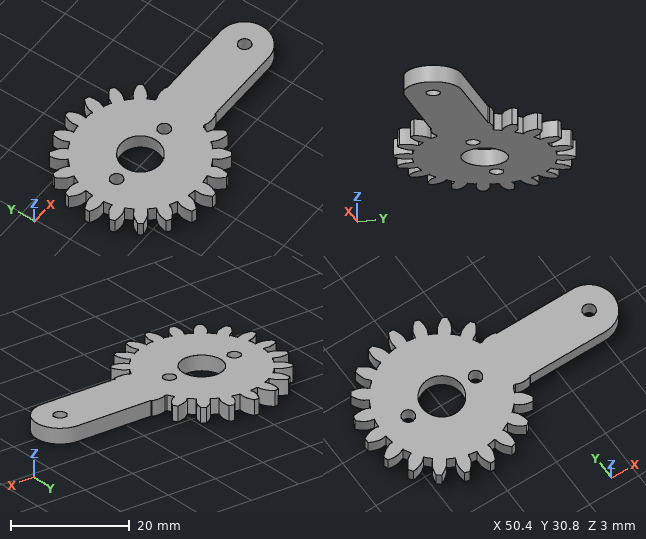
import cadquery as cq
import math

total_length = 50.4
thickness = 3.0

tooth_count = 20
outer_diameter = 30.8
pressure_angle = math.radians(20)
addendum_factor = 1.0
dedendum_factor = 1.25
flank_point_count = 6

module = outer_diameter / (tooth_count + 2 * addendum_factor)
outer_radius = outer_diameter / 2
pitch_radius = module * tooth_count / 2
root_radius = pitch_radius - dedendum_factor * module
base_radius = pitch_radius * math.cos(pressure_angle)
tooth_pitch = 360.0 / tooth_count

arm_reach = 30.0
arm_end_radius = total_length - outer_radius - arm_reach

bore_diameter = 8.0
pin_hole_diameter = 2.4
pin_hole_offset = 6.85


def involute_angle(radius):
    """Angle swept by the involute from the base circle out to the given radius."""
    roll = math.acos(base_radius / radius)
    return math.tan(roll) - roll


base_half_angle = math.pi / (2 * tooth_count) + involute_angle(pitch_radius)


def flank_point(radius):
    """Point on the upper flank of the tooth that lies along +X."""
    angle = base_half_angle - involute_angle(radius)
    return (radius * math.cos(angle), radius * math.sin(angle))


def mirror(point):
    """Reflect a point across the X axis."""
    return (point[0], -point[1])


def make_tooth():
    """One tooth along +X: involute flanks, straight radial sides below the base circle."""
    flank_step = (outer_radius - base_radius) / (flank_point_count - 1)
    upper_flank = [flank_point(base_radius + index * flank_step) for index in range(flank_point_count)]
    lower_flank = [mirror(point) for point in upper_flank]
    return (
        cq.Workplane("XY")
        .lineTo(*lower_flank[0])
        .spline(lower_flank[1:], includeCurrent=True)
        .threePointArc((outer_radius, 0), upper_flank[-1])
        .spline(upper_flank[-2::-1], includeCurrent=True)
        .close()
        .extrude(thickness)
    )


def make_gear():
    gear = cq.Workplane("XY").circle(root_radius).extrude(thickness)
    tooth = make_tooth()
    for index in range(tooth_count):
        gear = gear.union(tooth.rotate((0, 0, 0), (0, 0, 1), index * tooth_pitch))
    return gear


def make_arm():
    """Flat arm from the gear axis to a full-round end."""
    return (
        cq.Workplane("XY")
        .moveTo(0, -arm_end_radius)
        .lineTo(arm_reach, -arm_end_radius)
        .threePointArc((arm_reach + arm_end_radius, 0), (arm_reach, arm_end_radius))
        .lineTo(0, arm_end_radius)
        .close()
        .extrude(thickness)
    )


def make_holes():
    """Cutters for the central bore, the two pin holes beside it and the arm end hole."""
    bore = cq.Workplane("XY").circle(bore_diameter / 2).extrude(thickness)
    pin_holes = (
        cq.Workplane("XY")
        .pushPoints([(-pin_hole_offset, 0), (pin_hole_offset, 0), (arm_reach, 0)])
        .circle(pin_hole_diameter / 2)
        .extrude(thickness)
    )
    return bore.union(pin_holes)


result = make_gear().union(make_arm()).cut(make_holes())